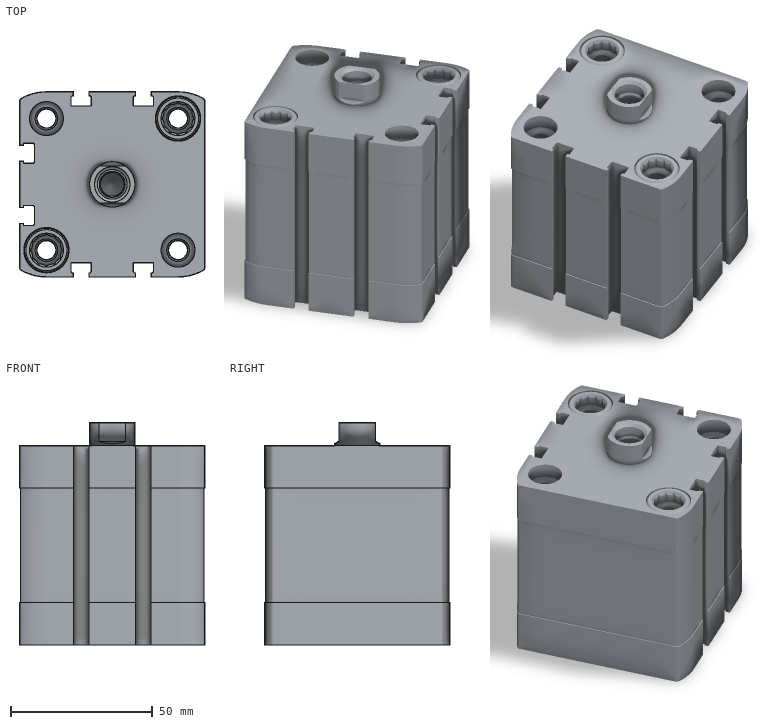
import cadquery as cq
import math

WIDTH = 65.5
TOTAL_HEIGHT = 78.6
ROD_PROJECTION = 8.1
HOUSING_HEIGHT = TOTAL_HEIGHT - ROD_PROJECTION

CAP_HEIGHT = 15.0
BARREL_INSET = 0.3
BOLT_OFFSET = 46.5 / 2
CORNER_RADIUS = 18.0
CORNER_FILLET = 1.2

SLOT_OFFSET = 11.0
SLOT_MOUTH = 5.5
SLOT_INNER = 7.0
SLOT_DEPTH_Y = 5.0
SLOT_DEPTH_X = 5.2
SLOT_LIP = 1.45
SLOT_CHAMFER = 0.4
SLOT_FILLET = 0.5

CORE_DIAMETER = 6.65
CORE_CHAMFER_DIAMETER = 8.0
COUNTERBORE_DIAMETER = 12.0
COUNTERBORE_DEPTH = 5.2

HEAD_BORE_DIAMETER = 16.0
HEAD_DIAMETER = 15.5
HEAD_CHAMFER = 0.5
HEAD_GAP_DEPTH = 1.0
SOCKET_DIAMETER = 10.5
SOCKET_DEPTH = 4.4
SOCKET_LEAD_IN_DIAMETER = 12.0
SOCKET_LEAD_IN_DEPTH = 1.3
SPLINE_COUNT = 12
SPLINE_APEX_RADIUS = 5.7
SPLINE_HALF_ANGLE = 8.8

ROD_DIAMETER = 16.0
ROD_INSERTION = 30.0
FLAT_WIDTH = 13.0
FLAT_HEIGHT = 6.6
FLAT_RUNOUT_ANGLE = 30.0
ROD_BORE_DIAMETER = 10.5
ROD_BORE_DEPTH = 4.8
ROD_BORE_CHAMFER = 1.0
THREAD_CHAMFER_DIAMETER = 9.2
THREAD_DIAMETER = 8.38
THREAD_DEPTH = 20.0
DRILL_HALF_ANGLE = 59.0


def turned(profile):
    """Solid of revolution about Z from (radius, z) points; the axis closes the profile."""
    return cq.Workplane("XZ").polyline(profile).close().revolve(360, (0, 0), (0, 1))


def outline_block(inset, bottom, height):
    """Block with straight sides and crowned corners, inset evenly from the cap outline."""
    half = WIDTH / 2 - inset
    radius = CORNER_RADIUS - inset
    arc_center_y = WIDTH / 2 - CORNER_RADIUS
    end_angle = math.acos((half - BOLT_OFFSET) / radius)
    mid_angle = (end_angle + math.pi / 2) / 2

    def arc_point(angle, side_x, side_y):
        x = BOLT_OFFSET + radius * math.cos(angle)
        y = arc_center_y + radius * math.sin(angle)
        return (side_x * x, side_y * y)

    block = (
        cq.Workplane("XY", origin=(0, 0, bottom))
        .moveTo(-BOLT_OFFSET, half)
        .lineTo(BOLT_OFFSET, half)
        .threePointArc(arc_point(mid_angle, 1, 1), arc_point(end_angle, 1, 1))
        .lineTo(*arc_point(end_angle, 1, -1))
        .threePointArc(arc_point(mid_angle, 1, -1), (BOLT_OFFSET, -half))
        .lineTo(-BOLT_OFFSET, -half)
        .threePointArc(arc_point(mid_angle, -1, -1), arc_point(end_angle, -1, -1))
        .lineTo(*arc_point(end_angle, -1, 1))
        .threePointArc(arc_point(mid_angle, -1, 1), (-BOLT_OFFSET, half))
        .close()
        .extrude(height)
    )
    return block.edges("|Z and (>X or <X)").fillet(CORNER_FILLET - inset)


def slot_box(width, depth):
    """Full-height box reaching from the +Y side inward by the given depth."""
    block = cq.Workplane("XY").box(width, depth, HOUSING_HEIGHT, centered=(True, False, False))
    return block.translate((0, WIDTH / 2 - depth, 0))


def chamfered_slot():
    """T-slot for the Y sides, with bevelled inner edges on its lips."""
    undercut = slot_box(SLOT_INNER, SLOT_DEPTH_Y).cut(slot_box(SLOT_INNER, SLOT_LIP))
    undercut = undercut.edges("|Z and >Y").chamfer(SLOT_CHAMFER)
    return undercut.union(slot_box(SLOT_MOUTH, SLOT_DEPTH_Y))


def rounded_slot():
    """T-slot for the -X side, modelled on +Y, with rounded floor corners."""
    undercut = slot_box(SLOT_INNER, SLOT_DEPTH_X).cut(slot_box(SLOT_INNER, SLOT_LIP))
    undercut = undercut.edges("|Z and <Y").fillet(SLOT_FILLET)
    return undercut.union(slot_box(SLOT_MOUTH, SLOT_DEPTH_X))


def core_hole(seat_depth):
    """Through hole with a 45 degree chamfer at a seat below the top face."""
    seat = HOUSING_HEIGHT - seat_depth
    core_radius = CORE_DIAMETER / 2
    chamfer_radius = CORE_CHAMFER_DIAMETER / 2
    return turned([
        (0, 0),
        (core_radius, 0),
        (core_radius, seat - (chamfer_radius - core_radius)),
        (chamfer_radius, seat),
        (0, seat),
    ])


def counterbored_hole():
    bore = (
        cq.Workplane("XY", origin=(0, 0, HOUSING_HEIGHT))
        .circle(COUNTERBORE_DIAMETER / 2)
        .extrude(-COUNTERBORE_DEPTH)
    )
    return bore.union(core_hole(COUNTERBORE_DEPTH))


def head_gap():
    """Ring-shaped gap between the screw head, chamfered at its rim, and its bore."""
    head_radius = HEAD_DIAMETER / 2
    bore_radius = HEAD_BORE_DIAMETER / 2
    floor = HOUSING_HEIGHT - HEAD_GAP_DEPTH
    return turned([
        (head_radius - HEAD_CHAMFER, HOUSING_HEIGHT),
        (head_radius, HOUSING_HEIGHT - HEAD_CHAMFER),
        (head_radius, floor),
        (bore_radius, floor),
        (bore_radius, HOUSING_HEIGHT),
    ])


def splined_socket():
    """Round socket with V-shaped spline grooves around it and a conical lead-in."""
    socket_radius = SOCKET_DIAMETER / 2
    socket_floor = HOUSING_HEIGHT - SOCKET_DEPTH
    socket = cq.Workplane("XY", origin=(0, 0, socket_floor)).circle(socket_radius).extrude(SOCKET_DEPTH)
    half_angle = math.radians(SPLINE_HALF_ANGLE)
    flank_x = socket_radius * math.cos(half_angle)
    flank_y = socket_radius * math.sin(half_angle)
    groove = (
        cq.Workplane("XY", origin=(0, 0, socket_floor))
        .polyline([(0, 0), (flank_x, -flank_y), (SPLINE_APEX_RADIUS, 0), (flank_x, flank_y)])
        .close()
        .extrude(SOCKET_DEPTH)
    )
    for index in range(SPLINE_COUNT):
        socket = socket.union(groove.rotate((0, 0, 0), (0, 0, 1), index * 360 / SPLINE_COUNT))
    lead_in = turned([
        (0, HOUSING_HEIGHT),
        (SOCKET_LEAD_IN_DIAMETER / 2, HOUSING_HEIGHT),
        (socket_radius, HOUSING_HEIGHT - SOCKET_LEAD_IN_DEPTH),
        (0, HOUSING_HEIGHT - SOCKET_LEAD_IN_DEPTH),
    ])
    return socket.union(lead_in)


def make_housing():
    barrel_height = HOUSING_HEIGHT - 2 * CAP_HEIGHT
    body = outline_block(0, 0, CAP_HEIGHT)
    body = body.union(outline_block(BARREL_INSET, CAP_HEIGHT, barrel_height))
    body = body.union(outline_block(0, HOUSING_HEIGHT - CAP_HEIGHT, CAP_HEIGHT))

    for slot, side_angle in ((chamfered_slot(), 0), (rounded_slot(), 90), (chamfered_slot(), 180)):
        for offset in (-SLOT_OFFSET, SLOT_OFFSET):
            body = body.cut(slot.translate((offset, 0, 0)).rotate((0, 0, 0), (0, 0, 1), side_angle))

    screw_cutters = (head_gap(), splined_socket(), core_hole(SOCKET_DEPTH))
    for side in (-1, 1):
        body = body.cut(counterbored_hole().translate((side * BOLT_OFFSET, -side * BOLT_OFFSET, 0)))
        for cutter in screw_cutters:
            body = body.cut(cutter.translate((side * BOLT_OFFSET, side * BOLT_OFFSET, 0)))

    rod_bore = (
        cq.Workplane("XY", origin=(0, 0, HOUSING_HEIGHT))
        .circle(ROD_DIAMETER / 2)
        .extrude(-ROD_INSERTION)
    )
    return body.cut(rod_bore)


def rod_hole():
    """Threaded-core hole with lead-in, relief bore, chamfer and drill point."""
    bore_radius = ROD_BORE_DIAMETER / 2
    thread_radius = THREAD_DIAMETER / 2
    chamfer_radius = THREAD_CHAMFER_DIAMETER / 2
    bore_floor = TOTAL_HEIGHT - ROD_BORE_DEPTH
    thread_floor = TOTAL_HEIGHT - THREAD_DEPTH
    return turned([
        (0, TOTAL_HEIGHT),
        (bore_radius + ROD_BORE_CHAMFER, TOTAL_HEIGHT),
        (bore_radius, TOTAL_HEIGHT - ROD_BORE_CHAMFER),
        (bore_radius, bore_floor),
        (chamfer_radius, bore_floor),
        (thread_radius, bore_floor - (chamfer_radius - thread_radius)),
        (thread_radius, thread_floor),
        (0, thread_floor - thread_radius / math.tan(math.radians(DRILL_HALF_ANGLE))),
    ])


def wrench_flat():
    """Cutter for the flat on +Y, whose lower end slopes down and outward."""
    flat_y = FLAT_WIDTH / 2
    rod_radius = ROD_DIAMETER / 2
    ledge_z = TOTAL_HEIGHT - FLAT_HEIGHT
    ledge_drop = (rod_radius - flat_y) * math.tan(math.radians(FLAT_RUNOUT_ANGLE))
    return (
        cq.Workplane("YZ")
        .polyline([
            (flat_y, TOTAL_HEIGHT),
            (flat_y, ledge_z),
            (rod_radius, ledge_z - ledge_drop),
            (rod_radius, TOTAL_HEIGHT),
        ])
        .close()
        .extrude(rod_radius, both=True)
    )


def make_piston_rod():
    rod = (
        cq.Workplane("XY", origin=(0, 0, HOUSING_HEIGHT - ROD_INSERTION))
        .circle(ROD_DIAMETER / 2)
        .extrude(ROD_INSERTION + ROD_PROJECTION)
    )
    rod = rod.cut(rod_hole())
    for side_angle in (0, 180):
        rod = rod.cut(wrench_flat().rotate((0, 0, 0), (0, 0, 1), side_angle))
    return rod


housing = make_housing().solids()
piston_rod = make_piston_rod().solids()

result = cq.Compound.makeCompound([housing.val(), piston_rod.val()])